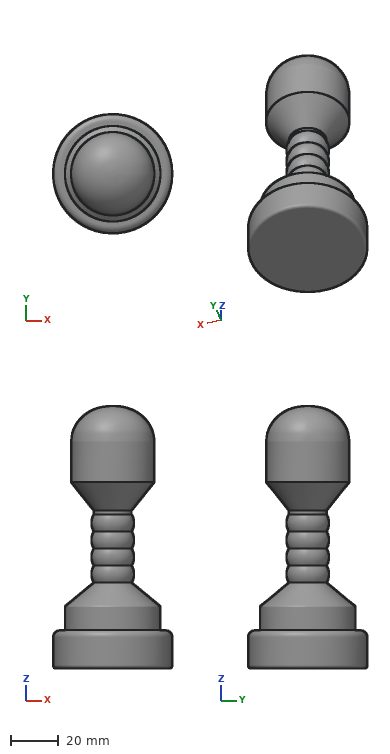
import cadquery as cq

total_height = 110.0
base_height = 16.1
shoulder_height = 26.1
ring_stack_bottom = 36.0
collar_bottom = 34.8
ring_pitch = 7.2
ring_count = 4
spacer_height = 1.6
head_cone_height = 11.9
head_cylinder_height = 16.9

base_diameter = 50.0
shoulder_diameter = 40.0
collar_diameter = 19.0
neck_diameter = 16.0
ring_diameter = 18.0
head_diameter = 35.0
tip_flat_diameter = 1.8

base_top_fillet = 3.0
base_bottom_fillet = 1.3
shoulder_fillet = 0.9

neck_radius = neck_diameter / 2
head_bottom = ring_stack_bottom + ring_count * ring_pitch


def revolve_about_z(profile):
    """Turn a closed (radius, height) profile on the XZ plane into a solid of revolution."""
    return profile.revolve(360, (0, 0), (0, 1))


def make_base():
    """Rounded foot disc carrying a shoulder that tapers up to the ring stack."""
    foot = (
        cq.Workplane("XY")
        .circle(base_diameter / 2)
        .extrude(base_height)
        .faces(">Z").edges().fillet(base_top_fillet)
        .faces("<Z").edges().fillet(base_bottom_fillet)
    )
    shoulder = revolve_about_z(
        cq.Workplane("XZ")
        .moveTo(0, base_height)
        .lineTo(shoulder_diameter / 2, base_height)
        .lineTo(shoulder_diameter / 2, shoulder_height)
        .lineTo(collar_diameter / 2, collar_bottom)
        .lineTo(neck_radius, ring_stack_bottom)
        .lineTo(0, ring_stack_bottom)
        .close()
    )
    corner_center = (0, 0, shoulder_height)
    shoulder = shoulder.edges(cq.NearestToPointSelector(corner_center)).fillet(shoulder_fillet)
    return foot.union(shoulder)


def make_ring(bottom):
    """One barrel-shaped ring of the flexible neck, standing on the given height."""
    return revolve_about_z(
        cq.Workplane("XZ")
        .moveTo(0, bottom)
        .lineTo(neck_radius, bottom)
        .threePointArc(
            (ring_diameter / 2, bottom + ring_pitch / 2),
            (neck_radius, bottom + ring_pitch),
        )
        .lineTo(0, bottom + ring_pitch)
        .close()
    )


def make_head():
    """Head with a plain spacer, a widening cone, a cylinder and an elliptical dome."""
    head_radius = head_diameter / 2
    tip_radius = tip_flat_diameter / 2
    cone_bottom = head_bottom + spacer_height
    cylinder_bottom = cone_bottom + head_cone_height
    dome_bottom = cylinder_bottom + head_cylinder_height
    dome_height = total_height - dome_bottom
    return revolve_about_z(
        cq.Workplane("XZ")
        .moveTo(0, head_bottom)
        .lineTo(neck_radius, head_bottom)
        .lineTo(neck_radius, cone_bottom)
        .lineTo(head_radius, cylinder_bottom)
        .lineTo(head_radius, dome_bottom)
        .ellipseArc(head_radius - tip_radius, dome_height, 0, 90, startAtCurrent=True)
        .lineTo(0, total_height)
        .close()
    )


base = make_base()
rings = [make_ring(ring_stack_bottom + index * ring_pitch) for index in range(ring_count)]
head = make_head()

result = cq.Compound.makeCompound([base.val(), *[ring.val() for ring in rings], head.val()])